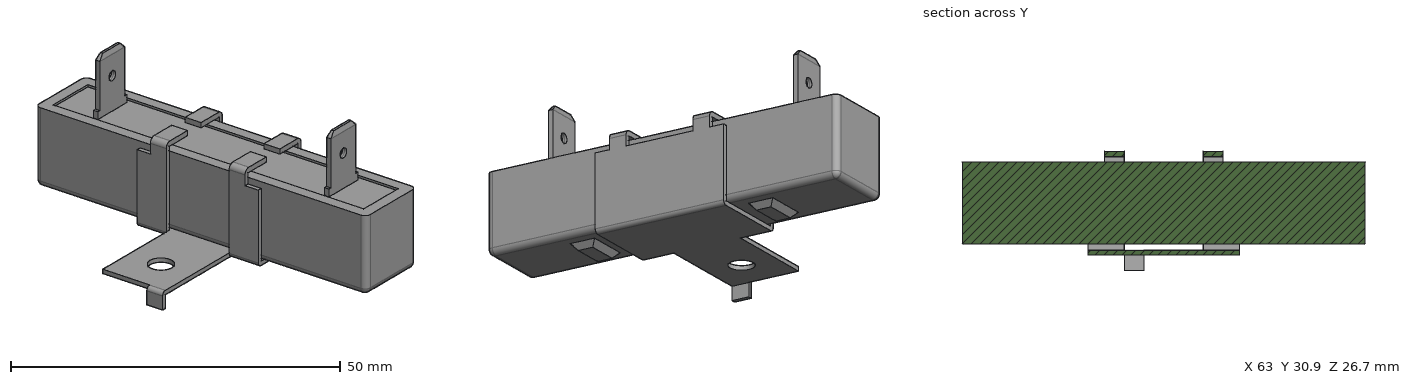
import cadquery as cq

body_length = 63.0
body_width = 12.6
body_height = 13.4
body_fillet = 1.0
rim_width = 1.95
recess_depth = 0.4

foot_spacing = 32.0
foot_length = 4.4
foot_width = 7.3
foot_height = 1.0
foot_taper_angle = 42.0

terminal_spacing = 44.0
terminal_thickness = 0.8
terminal_width = 6.3
terminal_top = 23.6
shoulder_width = 7.3
shoulder_top = 14.35
tip_length = 0.95
tip_corner = 0.95
tip_thickness = 0.45
terminal_hole_diameter = 1.65
terminal_hole_height = 19.0

sheet = 0.75
clip_length = 23.05
clip_wall_top = 12.3
clip_top = 15.05
finger_outer_x = 9.0
finger_inner_x = 6.0
finger_reach = 5.35
finger_thickness = 0.9
bend_radius = 0.7
finger_bend_radius = 0.95

flange_end = 23.8
flange_hole_diameter = 4.15
flange_hole_y = -16.3
hook_width = 3.0
hook_bottom = -3.1

clip_width = body_width + 2 * sheet
recess_floor = body_height - recess_depth


def box(x_range, y_range, z_range):
    """Box spanning the given ranges along X, Y and Z."""
    low, high = zip(x_range, y_range, z_range)
    size = [end - start for start, end in zip(low, high)]
    return cq.Workplane("XY").box(*size, centered=False).translate(low)


def make_body():
    body = cq.Workplane("XY").box(body_length, body_width, body_height, centered=(True, True, False))
    body = body.edges("|Z or <Z").fillet(body_fillet)
    recess = (
        cq.Workplane("XY", origin=(0, 0, recess_floor))
        .rect(body_length - 2 * rim_width, body_width - 2 * rim_width)
        .extrude(recess_depth)
    )
    return body.cut(recess)


def make_foot(x):
    return (
        cq.Workplane("XY", origin=(x, 0, 0))
        .rect(foot_length, foot_width)
        .extrude(-foot_height, taper=foot_taper_angle)
    )


def make_terminal(x):
    half_width = terminal_width / 2
    half_shoulder = shoulder_width / 2
    half_thickness = terminal_thickness / 2
    tip_base = terminal_top - tip_length

    face = (
        cq.Workplane("YZ")
        .moveTo(-half_shoulder, recess_floor)
        .lineTo(half_shoulder, recess_floor)
        .lineTo(half_shoulder, shoulder_top)
        .lineTo(half_width, shoulder_top)
        .lineTo(half_width, tip_base)
        .lineTo(half_width - tip_corner, terminal_top)
        .lineTo(-half_width + tip_corner, terminal_top)
        .lineTo(-half_width, tip_base)
        .lineTo(-half_width, shoulder_top)
        .lineTo(-half_shoulder, shoulder_top)
        .close()
        .extrude(half_thickness, both=True)
    )
    edge = (
        cq.Workplane("XZ")
        .moveTo(-half_thickness, recess_floor)
        .lineTo(half_thickness, recess_floor)
        .lineTo(half_thickness, tip_base)
        .lineTo(tip_thickness / 2, terminal_top)
        .lineTo(-tip_thickness / 2, terminal_top)
        .lineTo(-half_thickness, tip_base)
        .close()
        .extrude(half_shoulder, both=True)
    )
    hole = (
        cq.Workplane("YZ")
        .center(0, terminal_hole_height)
        .circle(terminal_hole_diameter / 2)
        .extrude(terminal_thickness, both=True)
    )
    return face.intersect(edge).cut(hole).translate((x, 0, 0))


def make_clip():
    half_length = clip_length / 2
    half_width = clip_width / 2

    clip = box((-half_length, half_length), (-half_width, half_width), (-sheet, clip_top))
    clip = clip.edges("|X and <Z").fillet(bend_radius)
    clip = clip.edges("|X and >Z").fillet(finger_bend_radius)
    inside = box(
        (-half_length, half_length),
        (-body_width / 2, body_width / 2),
        (0, clip_top - finger_thickness),
    )
    clip = clip.cut(inside)

    full_width = (-half_width, half_width)
    above_walls = (clip_wall_top, clip_top)
    clip = clip.cut(box((-half_length, -finger_outer_x), full_width, above_walls))
    clip = clip.cut(box((finger_outer_x, half_length), full_width, above_walls))
    clip = clip.cut(box((-finger_inner_x, finger_inner_x), full_width, above_walls))

    half_gap = half_width - finger_reach
    clip = clip.cut(box((-half_length, half_length), (-half_gap, half_gap), above_walls))

    opening = box(
        (-finger_inner_x, finger_inner_x),
        (-half_width, -body_width / 2),
        (-sheet, clip_top),
    )
    return clip.cut(opening)


def make_flange():
    plate_end = -flange_end + sheet
    plate = box((-finger_inner_x, finger_inner_x), (plate_end, -body_width / 2), (-sheet, 0))
    hole = (
        cq.Workplane("XY")
        .center(0, flange_hole_y)
        .circle(flange_hole_diameter / 2)
        .extrude(-sheet)
    )
    hook = box(
        (finger_inner_x - hook_width, finger_inner_x),
        (-flange_end, plate_end),
        (hook_bottom, 0),
    )
    hook = hook.edges("|X and <Y and >Z").fillet(bend_radius)
    return plate.cut(hole).union(hook)


result = make_body().union(make_clip()).union(make_flange())
for side in (-1, 1):
    result = result.union(make_foot(side * foot_spacing / 2))
    result = result.union(make_terminal(side * terminal_spacing / 2))